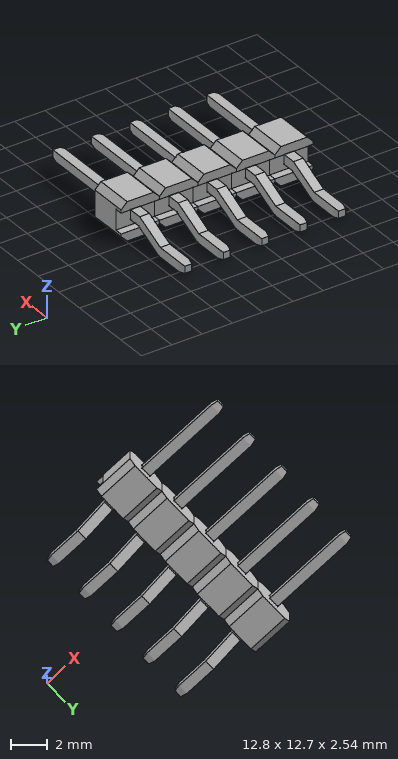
import cadquery as cq
import math


positions = 5
pitch = 2.54

housing_length = pitch
housing_height = pitch
housing_chamfer = 0.4
slot_depth = 0.5
lip_thickness = 0.6

pin_width = 0.64
tip_length = 0.4
tip_width = 0.47
contact_reach = 5.6
tail_reach = 4.66
bend_to_housing = 0.41
slope_run = 2.0

front_x = -housing_length / 2
back_x = housing_length / 2
contact_end_x = back_x + contact_reach
tail_end_x = front_x - tail_reach

pin_half = pin_width / 2
tail_z = -housing_height / 2 + pin_half
slope_angle = math.atan2(-tail_z, slope_run)
miter_offset = pin_width * math.tan(slope_angle / 2)


def make_housing(y):
    """Block with chamfered long edges, a slot across its front face and a square pin hole."""
    slot_height = housing_height - 2 * lip_thickness
    block = (
        cq.Workplane("XY")
        .box(housing_length, pitch, housing_height)
        .edges("|X")
        .chamfer(housing_chamfer)
    )
    slot = cq.Workplane("XY").box(2 * slot_depth, pitch, slot_height).translate((front_x, 0, 0))
    pin_hole = cq.Workplane("XY").box(housing_length, pin_width, pin_width)
    return block.cut(slot).cut(pin_hole).translate((0, y, 0))


def make_tip(shoulder_x, z, direction):
    """Square taper that starts at shoulder_x and narrows towards direction (+1 or -1 along X)."""
    return (
        cq.Workplane(cq.Plane((shoulder_x, 0, z), (0, 1, 0), (direction, 0, 0)))
        .rect(pin_width, pin_width)
        .workplane(offset=tip_length)
        .rect(tip_width, tip_width)
        .loft(ruled=True)
    )


def make_pin(y):
    """Square wire, straight through the housing, with a sloped step down to the tail."""
    contact_shoulder_x = contact_end_x - tip_length
    tail_shoulder_x = tail_end_x + tip_length
    upper_bend_x = front_x - bend_to_housing
    lower_bend_x = upper_bend_x - slope_run
    wire = (
        cq.Workplane("XZ")
        .moveTo(tail_shoulder_x, tail_z + pin_half)
        .lineTo(lower_bend_x, tail_z + pin_half)
        .lineTo(upper_bend_x, pin_half)
        .lineTo(contact_shoulder_x, pin_half)
        .lineTo(contact_shoulder_x, -pin_half)
        .lineTo(upper_bend_x + miter_offset, -pin_half)
        .lineTo(lower_bend_x + miter_offset, tail_z - pin_half)
        .lineTo(tail_shoulder_x, tail_z - pin_half)
        .close()
        .extrude(pin_half, both=True)
    )
    contact_tip = make_tip(contact_shoulder_x, 0, 1)
    tail_tip = make_tip(tail_shoulder_x, tail_z, -1)
    return wire.union(contact_tip).union(tail_tip).translate((0, y, 0))


row_y = [(i - (positions - 1) / 2) * pitch for i in range(positions)]
housings = [make_housing(y) for y in row_y]
pins = [make_pin(y) for y in row_y]

result = cq.Compound.makeCompound([body.val() for body in housings + pins])